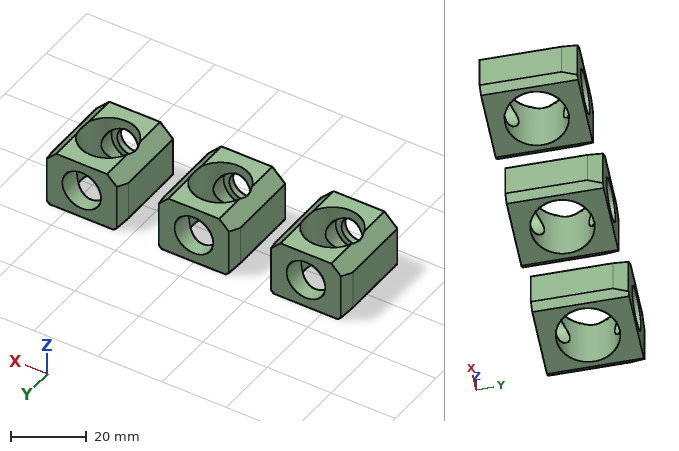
import cadquery as cq

row_length = 94.0
block_count = 3
block_width = 24.0
block_depth = 26.0
block_height = 18.0
block_pitch = (row_length - block_width) / (block_count - 1)

top_chamfer = 4.0
bottom_chamfer = 2.0
taper_length = 4.0
taper_inset = 1.0

vertical_bore_diameter = 17.0
front_bore_diameter = 8.5
rear_bore_diameter = 12.0
front_lip_thickness = 2.0


def tapered_plan():
    """Plan outline extruded to full height, narrowing at the back."""
    half_width = block_width / 2
    half_depth = block_depth / 2
    back_half_width = half_width - taper_inset
    taper_start = half_depth - taper_length
    return (
        cq.Workplane("XY")
        .polyline([
            (-half_width, -half_depth),
            (half_width, -half_depth),
            (half_width, taper_start),
            (back_half_width, half_depth),
            (-back_half_width, half_depth),
            (-half_width, taper_start),
        ])
        .close()
        .extrude(block_height / 2, both=True)
    )


def chamfered_bar():
    """Bar along Y with large top chamfers and small bottom chamfers."""
    return (
        cq.Workplane("XY")
        .box(block_width, block_depth, block_height)
        .edges("|Y and >Z")
        .chamfer(top_chamfer)
        .edges("|Y and <Z")
        .chamfer(bottom_chamfer)
    )


def y_bore(diameter, front_y):
    """Cylinder along Y, from front_y to the back face of a block."""
    return (
        cq.Workplane("XZ", origin=(0, front_y, 0))
        .circle(diameter / 2)
        .extrude(front_y - block_depth / 2)
    )


def clamp_block(center_x):
    """One block: the tapered, chamfered body with a vertical bore and a stepped bore along Y."""
    front_y = -block_depth / 2
    vertical_bore = cq.Workplane("XY").circle(vertical_bore_diameter / 2).extrude(block_height / 2, both=True)
    block = (
        chamfered_bar()
        .intersect(tapered_plan())
        .cut(vertical_bore)
        .cut(y_bore(front_bore_diameter, front_y))
        .cut(y_bore(rear_bore_diameter, front_y + front_lip_thickness))
    )
    return block.translate((center_x, 0, 0)).solids()


first_center_x = -block_pitch * (block_count - 1) / 2
blocks = [clamp_block(first_center_x + i * block_pitch) for i in range(block_count)]

result = cq.Compound.makeCompound([block.val() for block in blocks])